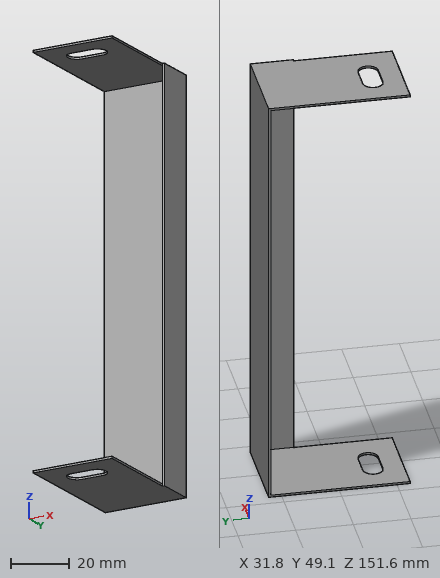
import cadquery as cq

width = 31.8
depth = 49.1
height = 151.6
sheet = 0.8

side_flange_depth = 15.0

slot_length = 15.0
slot_width = 7.0
slot_x = 15.0
slot_y = 10.8


def plate(size_x, size_y, size_z, corner):
    """Flat sheet with its lowest corner at the given point."""
    return cq.Workplane("XY").box(size_x, size_y, size_z, centered=False).translate(corner)


def end_flange(bottom):
    """Horizontal flange, narrower in front of the side flange, with its slot."""
    front = plate(width - sheet, depth, sheet, (0, 0, bottom))
    rear = plate(width, side_flange_depth, sheet, (0, depth - side_flange_depth, bottom))
    slot = (
        cq.Workplane("XY")
        .workplane(offset=bottom)
        .center(slot_x, slot_y)
        .slot2D(slot_length, slot_width)
        .extrude(sheet)
    )
    return front.union(rear).cut(slot)


back_plate = plate(width, sheet, height, (0, depth - sheet, 0))
side_flange = plate(
    sheet, side_flange_depth, height, (width - sheet, depth - side_flange_depth, 0)
)

result = back_plate.union(side_flange)
for flange_bottom in (0, height - sheet):
    result = result.union(end_flange(flange_bottom))